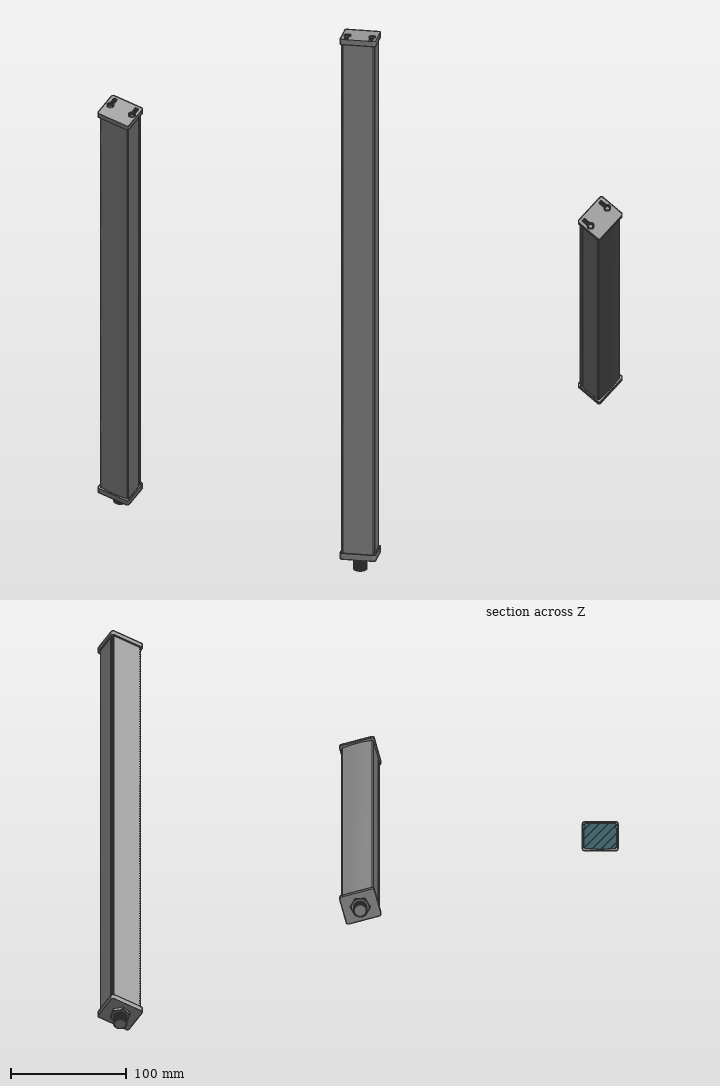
import cadquery as cq

total_height = 493.0
cap_width = 31.0
cap_depth = 25.0
cap_corner_radius = 2.0
top_cap_height = 5.0
bottom_cap_height = 5.5

bar_width = 28.5
bar_depth = 22.5
lens_width = 22.5
lens_bulge = 0.75
bar_corner_step = 1.0
side_groove_width = 1.5
side_groove_depth = 1.0
side_groove_y = 8.0

connector_height = 13.0
nut_height = 3.0
nut_corner_diameter = 17.5
nut_sides = 6
nut_turn = 15.0
nut_chamfer = 1.0
thread_diameter = 12.0
thread_root_diameter = 10.5
thread_ring_count = 8

keyhole_x = 11.0
keyhole_y = 1.5
keyhole_diameter = 6.0
keyhole_slot_width = 3.0
keyhole_slot_end_y = 10.0
keyhole_step = 1.0
keyhole_step_depth = 1.0
keyhole_depth = 3.0

bar_bottom = connector_height + bottom_cap_height
bar_top = total_height - top_cap_height


def make_cap(bottom, height):
    """Rectangular end cap with rounded upright corners."""
    cap = cq.Workplane("XY", origin=(0, 0, bottom)).rect(cap_width, cap_depth).extrude(height)
    return cap.edges("|Z").fillet(cap_corner_radius)


def make_bar():
    """Bar with a bowed front, stepped upright corners and a groove along each side."""
    rim = -bar_depth / 2 + lens_bulge
    rim_depth = bar_depth - lens_bulge
    length = bar_top - bar_bottom
    base = cq.Workplane("XY", origin=(0, 0, bar_bottom))
    body = base.center(0, rim + rim_depth / 2).rect(bar_width, rim_depth).extrude(length)
    corners = (
        base.center(0, rim + rim_depth / 2)
        .rect(bar_width, rim_depth, forConstruction=True)
        .vertices()
        .rect(2 * bar_corner_step, 2 * bar_corner_step)
        .extrude(length)
    )
    lens = (
        base.moveTo(-lens_width / 2, rim)
        .threePointArc((0, -bar_depth / 2), (lens_width / 2, rim))
        .lineTo(lens_width / 2, 0)
        .lineTo(-lens_width / 2, 0)
        .close()
        .extrude(length)
    )
    grooves = (
        base.pushPoints([(-bar_width / 2, side_groove_y), (bar_width / 2, side_groove_y)])
        .rect(2 * side_groove_depth, side_groove_width)
        .extrude(length)
    )
    return body.union(lens).cut(corners).cut(grooves)


def make_connector():
    """Hexagonal nut, chamfered below, above a threaded stub; the thread is a stack of V-shaped rings."""
    nut_bottom = connector_height - nut_height
    nut = (
        cq.Workplane("XY", origin=(0, 0, nut_bottom))
        .transformed(rotate=(0, 0, nut_turn))
        .polygon(nut_sides, nut_corner_diameter)
        .extrude(nut_height)
    )
    chamfered_blank = (
        cq.Workplane("XY", origin=(0, 0, nut_bottom))
        .circle(nut_corner_diameter / 2)
        .extrude(nut_height)
        .faces("<Z")
        .chamfer(nut_chamfer)
    )
    nut = nut.intersect(chamfered_blank)
    thread_pitch = nut_bottom / thread_ring_count
    root = thread_root_diameter / 2
    crest = thread_diameter / 2
    outline = cq.Workplane("XZ").lineTo(root, 0)
    for ring in range(thread_ring_count):
        ring_bottom = ring * thread_pitch
        outline = outline.lineTo(crest, ring_bottom + thread_pitch / 2)
        outline = outline.lineTo(root, ring_bottom + thread_pitch)
    stub = outline.lineTo(root, connector_height).lineTo(0, connector_height).close().revolve()
    return nut.union(stub)


def make_keyhole(x, inset, depth):
    """Blind keyhole, its outline moved inwards by inset, with its slot towards the back."""
    floor = cq.Workplane("XY", origin=(x, 0, total_height - depth))
    slot_width = keyhole_slot_width - 2 * inset
    slot_end = keyhole_slot_end_y - inset
    hole = floor.center(0, keyhole_y).circle(keyhole_diameter / 2 - inset).extrude(depth)
    slot = (
        floor.center(0, (keyhole_y + slot_end) / 2)
        .rect(slot_width, slot_end - keyhole_y)
        .extrude(depth)
    )
    return hole.union(slot)


result = make_bar()
result = result.union(make_cap(connector_height, bottom_cap_height))
result = result.union(make_cap(bar_top, top_cap_height))
result = result.union(make_connector())
for side in (-1, 1):
    result = result.cut(make_keyhole(side * keyhole_x, 0, keyhole_step_depth))
    result = result.cut(make_keyhole(side * keyhole_x, keyhole_step, keyhole_depth))